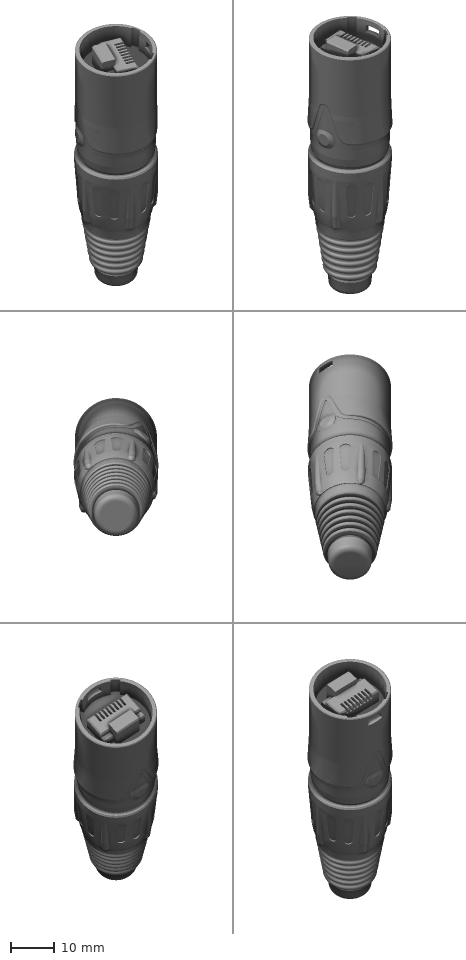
import cadquery as cq
import math

LENGTH = 67.55

SHELL_RADIUS = 9.45
MOUTH_CHAMFER = 0.2
SKIRT_HALF_X = 10.0
SKIRT_HALF_Y = 9.5
SKIRT_TOP = 51.9
SKIRT_KNEE = 50.5
SKIRT_KNEE_RADIUS = 9.5
SKIRT_BOTTOM = 44.25
SKIRT_EDGE_FILLET = 0.35

BELL_PEAK = 53.65
BELL_PEAK_RADIUS = 1.35
BELL_FLARE_RADIUS = 2.35
BELL_SLOPE = math.radians(71)

FOOT_RADIUS = 9.3
FOOT_WIDTH = 1.0

CORE_RADIUS = 9.2
CORE_TAPER_TOP = 39.85
CORE_END_RADIUS = 9.0
CORE_BOTTOM = 37.6
CORE_CHAMFER = 0.3
NECK_RADIUS = 8.45

BADGE_Z = 44.3
BADGE_BASE_RADIUS = 2.6
BADGE_FACE_RADIUS = 1.5
BADGE_BASE_Y = 9.05
BADGE_FACE_Y = 9.6

CAVITY_FLOOR = 62.15
CAVITY_TOP_RADIUS = 8.45
CAVITY_FLOOR_RADIUS = 8.05
KEYWAY_RADIUS = 8.85
KEYWAY_ANGLES = (46, 61)
WINDOW_WIDTH = 4.0
WINDOW_BOTTOM = 64.3
WINDOW_TOP = 66.2

PLUG_HALF_WIDTH = 5.8
PLUG_BACK_Y = 3.45
PLUG_STEP_Y = -1.9
PLUG_FRONT_Y = -3.4
PLUG_TOP = 65.9
PLUG_LEDGE_TOP = 64.5
PLUG_CHAMFER = 0.35
LATCH_WIDTH = 6.4
LATCH_BACK_Y = -1.4
LATCH_FRONT_Y = -4.65
LATCH_CHAMFER = 0.35
CONTACT_COUNT = 8
CONTACT_PITCH = 1.0
CONTACT_WIDTH = 0.6
CONTACT_FRONT_Y = 1.0
CONTACT_DEPTH = 1.35

NUT_TOP = 36.9
NUT_RADIUS = 9.65
NUT_CHAMFER = 0.35
NUT_BAND_BOTTOM = 34.2
NUT_WAIST_Z = 24.25
NUT_WAIST_RADIUS = 9.0
NUT_BOTTOM = 20.1
NUT_BOTTOM_RADIUS = 8.4
NUT_BULGE = 0.15

RIB_COUNT = 5
RIB_RADIUS = 1.0
RIB_OFFSET = NUT_RADIUS - RIB_RADIUS
RIB_END = 21.0
RIB_LEAN = 0.35
RIB_TIP_CHAMFER = 0.7

SLOT_TOP = 33.45
SLOT_BOTTOM = 24.05
SLOT_TOP_RADIUS = 1.35
SLOT_BOTTOM_RADIUS = 0.95
SLOT_DEPTH = 0.3
SLOT_SPREAD = 12.2

BOOT_TOP_RADIUS = 8.2
BOOT_COLLAR_BOTTOM = 17.0
BOOT_COLLAR_RADIUS = 8.0
BOOT_COLLAR_CHAMFER = 0.3
RING_COUNT = 6
RING_TOP_Z = 15.55
LOWEST_RING_Z = 5.55
RING_PITCH = (RING_TOP_Z - LOWEST_RING_Z) / (RING_COUNT - 1)
RING_HEIGHT = 1.1
RING_TOP_RADIUS = 7.7
RING_STEP = 0.285
RING_ROUNDING = 0.35
GROOVE_TOP_RADIUS = 6.5
GROOVE_DEPTH = 0.35
CAP_TOP = 4.1
CAP_RIM_Z = 3.85
CAP_TOP_RADIUS = 5.2
CAP_GROOVE_RADIUS = 4.8
CAP_BOTTOM_RADIUS = 4.85
CAP_FILLET = 1.35


def turned(profile):
    """Revolve (radius, z) points about the Z axis, closing the outline along the axis."""
    outline = [(0, profile[0][1])] + profile + [(0, profile[-1][1])]
    return cq.Workplane("XZ").polyline(outline).close().revolve(360, (0, 0), (0, 1))


def box_between(x0, x1, y0, y1, z0, z1):
    return cq.Workplane("XY").box(x1 - x0, y1 - y0, z1 - z0, centered=False).translate((x0, y0, z0))


def below_skirt(inset=0):
    """Everything under the skirt edge: flat at the sides, rising to a rounded bell in the middle.

    A positive inset moves the whole edge inward and down by that distance.
    """
    reach = 2 * SHELL_RADIUS
    floor = CORE_BOTTOM
    sin_slope = math.sin(BELL_SLOPE)
    cos_slope = math.cos(BELL_SLOPE)

    edge_z = SKIRT_BOTTOM - inset
    peak_radius = BELL_PEAK_RADIUS - inset
    flare_radius = BELL_FLARE_RADIUS + inset
    peak_centre_z = BELL_PEAK - BELL_PEAK_RADIUS
    peak_x = peak_radius * sin_slope
    peak_z = peak_centre_z + peak_radius * cos_slope

    flare_z = edge_z + flare_radius * (1 - cos_slope)
    flare_x = peak_x + (peak_z - flare_z) / math.tan(BELL_SLOPE)
    flare_end_x = flare_x + flare_radius * sin_slope
    half_slope = BELL_SLOPE / 2
    flare_mid_x = flare_end_x - flare_radius * math.sin(half_slope)
    flare_mid_z = edge_z + flare_radius * (1 - math.cos(half_slope))

    return (
        cq.Workplane("XZ")
        .moveTo(-reach, floor)
        .lineTo(-reach, edge_z)
        .lineTo(-flare_end_x, edge_z)
        .threePointArc((-flare_mid_x, flare_mid_z), (-flare_x, flare_z))
        .lineTo(-peak_x, peak_z)
        .threePointArc((0, BELL_PEAK - inset), (peak_x, peak_z))
        .lineTo(flare_x, flare_z)
        .threePointArc((flare_mid_x, flare_mid_z), (flare_end_x, edge_z))
        .lineTo(reach, edge_z)
        .lineTo(reach, floor)
        .close()
        .extrude(reach, both=True)
    )


def is_skirt_edge(edge):
    """True on the lower rim of the shell, false on the upright seam and the level lines above the rim."""
    box = edge.BoundingBox()
    on_seam = box.ylen < SKIRT_EDGE_FILLET and abs(edge.Center().y) < SKIRT_EDGE_FILLET
    is_level = box.zlen < SKIRT_EDGE_FILLET
    above_rim = is_level and box.zmin > SKIRT_BOTTOM + SKIRT_EDGE_FILLET
    return not on_seam and not above_rim


def shell():
    mouth = (
        cq.Workplane("XY", origin=(0, 0, SKIRT_TOP))
        .circle(SHELL_RADIUS)
        .extrude(LENGTH - SKIRT_TOP)
        .faces(">Z")
        .chamfer(MOUTH_CHAMFER)
    )
    skirt = (
        cq.Workplane("XY", origin=(0, 0, SKIRT_TOP))
        .circle(SHELL_RADIUS)
        .workplane(offset=SKIRT_KNEE - SKIRT_TOP)
        .circle(SKIRT_KNEE_RADIUS)
        .workplane(offset=SKIRT_BOTTOM - SKIRT_KNEE)
        .ellipse(SKIRT_HALF_X, SKIRT_HALF_Y)
        .loft(ruled=True)
    )
    flared = mouth.union(skirt).cut(below_skirt())
    edges = [edge for edge in flared.edges("not |Y").vals() if is_skirt_edge(edge)]
    return flared.newObject(edges).fillet(SKIRT_EDGE_FILLET)


def core():
    return turned([
        (NECK_RADIUS, NUT_WAIST_Z),
        (NECK_RADIUS, CORE_BOTTOM),
        (CORE_END_RADIUS - CORE_CHAMFER, CORE_BOTTOM),
        (CORE_END_RADIUS, CORE_BOTTOM + CORE_CHAMFER),
        (CORE_RADIUS, CORE_TAPER_TOP),
        (CORE_RADIUS, BELL_PEAK + 0.7),
    ])


def skirt_foot():
    ring = turned([(FOOT_RADIUS, CORE_TAPER_TOP), (FOOT_RADIUS, BELL_PEAK + 0.7)])
    return ring.cut(below_skirt(FOOT_WIDTH))


def badges():
    """Raised discs with conical flanks on the -Y and +Y sides."""
    front = (
        cq.Workplane("XZ", origin=(0, -BADGE_BASE_Y, BADGE_Z))
        .circle(BADGE_BASE_RADIUS)
        .workplane(offset=BADGE_FACE_Y - BADGE_BASE_Y)
        .circle(BADGE_FACE_RADIUS)
        .loft(ruled=True)
    )
    root = (
        cq.Workplane("XZ", origin=(0, -BADGE_BASE_Y, BADGE_Z))
        .circle(BADGE_BASE_RADIUS)
        .extrude(-BADGE_BASE_RADIUS)
    )
    badge = front.union(root)
    return badge.union(badge.mirror("XZ"))


def cavity():
    bore = turned([(CAVITY_FLOOR_RADIUS, CAVITY_FLOOR), (CAVITY_TOP_RADIUS, LENGTH)])
    window = box_between(
        -WINDOW_WIDTH / 2, WINDOW_WIDTH / 2, 0, SHELL_RADIUS + 0.7, WINDOW_BOTTOM, WINDOW_TOP
    )
    start, end = (math.radians(angle) for angle in KEYWAY_ANGLES)
    middle = (start + end) / 2
    keyway = cq.Workplane("XY", origin=(0, 0, CAVITY_FLOOR))
    keyway = keyway.lineTo(KEYWAY_RADIUS * math.cos(start), KEYWAY_RADIUS * math.sin(start))
    keyway = keyway.threePointArc(
        (KEYWAY_RADIUS * math.cos(middle), KEYWAY_RADIUS * math.sin(middle)),
        (KEYWAY_RADIUS * math.cos(end), KEYWAY_RADIUS * math.sin(end)),
    )
    keyway = keyway.close().extrude(LENGTH - CAVITY_FLOOR)
    return bore.union(window).union(keyway).union(keyway.mirror("YZ"))


def plug():
    """Plug rising from the cavity floor, with contact slots at the back and a latch block in front."""
    half = PLUG_HALF_WIDTH
    root = CAVITY_FLOOR - 0.7
    body = (
        box_between(-half, half, PLUG_STEP_Y, PLUG_BACK_Y, root, PLUG_TOP)
        .faces(">Z")
        .chamfer(PLUG_CHAMFER)
    )
    ledge = (
        box_between(-half, half, PLUG_FRONT_Y, PLUG_STEP_Y, root, PLUG_LEDGE_TOP)
        .faces(">Z")
        .edges("<Y")
        .chamfer(PLUG_CHAMFER)
    )
    body = body.union(ledge)
    for index in range(CONTACT_COUNT):
        x = (index - (CONTACT_COUNT - 1) / 2) * CONTACT_PITCH
        body = body.cut(box_between(
            x - CONTACT_WIDTH / 2, x + CONTACT_WIDTH / 2,
            CONTACT_FRONT_Y, PLUG_BACK_Y,
            PLUG_TOP - CONTACT_DEPTH, PLUG_TOP,
        ))
    latch = (
        box_between(-LATCH_WIDTH / 2, LATCH_WIDTH / 2, LATCH_FRONT_Y, LATCH_BACK_Y, root, LENGTH)
        .faces(">Z")
        .edges("<Y")
        .chamfer(LATCH_CHAMFER)
    )
    return body.union(latch)


def nut_rib():
    """Round rib on the -X side: upright on the cone, leaning in below it, with a blunt tip."""
    upright = (
        cq.Workplane("XY", origin=(-RIB_OFFSET, 0, NUT_WAIST_Z))
        .circle(RIB_RADIUS)
        .extrude(NUT_BAND_BOTTOM - NUT_WAIST_Z)
    )
    leaning = (
        cq.Workplane("XY", origin=(-RIB_OFFSET, 0, NUT_WAIST_Z))
        .circle(RIB_RADIUS)
        .workplane(offset=RIB_END - NUT_WAIST_Z)
        .center(RIB_LEAN, 0)
        .circle(RIB_RADIUS)
        .loft(ruled=True)
    )
    tip = (
        cq.Workplane("XY", origin=(RIB_LEAN - RIB_OFFSET, 0, RIB_END))
        .circle(RIB_RADIUS)
        .workplane(offset=NUT_BOTTOM - RIB_END)
        .circle(RIB_RADIUS - RIB_TIP_CHAMFER)
        .loft(ruled=True)
    )
    return upright.union(leaning).union(tip)


def nut_slot():
    """Cutter for one flat-floored grip slot on the -Y side, wider at its top end."""
    height = SLOT_TOP - SLOT_BOTTOM
    top_z = height / 2 - SLOT_TOP_RADIUS
    bottom_z = SLOT_BOTTOM_RADIUS - height / 2
    tilt = math.asin((SLOT_TOP_RADIUS - SLOT_BOTTOM_RADIUS) / (top_z - bottom_z))
    top_x = SLOT_TOP_RADIUS * math.cos(tilt)
    top_tangent_z = top_z - SLOT_TOP_RADIUS * math.sin(tilt)
    bottom_x = SLOT_BOTTOM_RADIUS * math.cos(tilt)
    bottom_tangent_z = bottom_z - SLOT_BOTTOM_RADIUS * math.sin(tilt)

    cone_slope = (NUT_RADIUS - NUT_WAIST_RADIUS) / (NUT_BAND_BOTTOM - NUT_WAIST_Z)
    middle_z = (SLOT_TOP + SLOT_BOTTOM) / 2
    cone_radius = NUT_WAIST_RADIUS + cone_slope * (middle_z - NUT_WAIST_Z)
    return (
        cq.Workplane("XZ")
        .moveTo(-bottom_x, bottom_tangent_z)
        .lineTo(-top_x, top_tangent_z)
        .threePointArc((0, height / 2), (top_x, top_tangent_z))
        .lineTo(bottom_x, bottom_tangent_z)
        .threePointArc((0, -height / 2), (-bottom_x, bottom_tangent_z))
        .close()
        .extrude(SLOT_TOP_RADIUS)
        .rotate((0, 0, 0), (1, 0, 0), math.degrees(math.atan(cone_slope)))
        .translate((0, SLOT_DEPTH - cone_radius, middle_z))
    )


def nut():
    bulge_point = (
        (NUT_WAIST_RADIUS + NUT_BOTTOM_RADIUS) / 2 + NUT_BULGE,
        (NUT_WAIST_Z + NUT_BOTTOM) / 2,
    )
    body = (
        cq.Workplane("XZ")
        .moveTo(0, NUT_TOP)
        .lineTo(NUT_RADIUS - NUT_CHAMFER, NUT_TOP)
        .lineTo(NUT_RADIUS, NUT_TOP - NUT_CHAMFER)
        .lineTo(NUT_RADIUS, NUT_BAND_BOTTOM)
        .lineTo(NUT_WAIST_RADIUS, NUT_WAIST_Z)
        .threePointArc(bulge_point, (NUT_BOTTOM_RADIUS, NUT_BOTTOM))
        .lineTo(0, NUT_BOTTOM)
        .close()
        .revolve(360, (0, 0), (0, 1))
    )
    rib = nut_rib()
    slot = nut_slot()
    rib_pitch = 360 / RIB_COUNT
    for index in range(RIB_COUNT):
        rib_angle = index * rib_pitch
        body = body.union(rib.rotate((0, 0, 0), (0, 0, 1), rib_angle + 180))
        gap_angle = rib_angle + rib_pitch / 2 + 90
        for side in (-1, 1):
            body = body.cut(slot.rotate((0, 0, 0), (0, 0, 1), gap_angle + side * SLOT_SPREAD))
    return body


def boot():
    """Collar, ringed bend relief with grooves that shrink toward the cable, and a rounded end cap."""
    groove_step = (GROOVE_TOP_RADIUS - CAP_GROOVE_RADIUS) / RING_COUNT
    half_height = RING_HEIGHT / 2
    outline = (
        cq.Workplane("XZ")
        .moveTo(0, NUT_BOTTOM)
        .lineTo(BOOT_TOP_RADIUS, NUT_BOTTOM)
        .lineTo(BOOT_COLLAR_RADIUS, BOOT_COLLAR_BOTTOM + BOOT_COLLAR_CHAMFER)
        .lineTo(BOOT_COLLAR_RADIUS - BOOT_COLLAR_CHAMFER, BOOT_COLLAR_BOTTOM)
    )
    groove_top = BOOT_COLLAR_BOTTOM
    for index in range(RING_COUNT):
        z = RING_TOP_Z - index * RING_PITCH
        ring_top = z + half_height
        ring_bottom = z - half_height
        rim_radius = RING_TOP_RADIUS - index * RING_STEP
        shoulder_radius = rim_radius - RING_ROUNDING
        groove_radius = GROOVE_TOP_RADIUS - index * groove_step
        lip_radius = groove_radius + GROOVE_DEPTH
        outline = (
            outline
            .lineTo(lip_radius, groove_top)
            .threePointArc((groove_radius, (groove_top + ring_top) / 2), (lip_radius, ring_top))
            .lineTo(shoulder_radius, ring_top)
            .threePointArc((rim_radius, z), (shoulder_radius, ring_bottom))
        )
        groove_top = ring_bottom
    outline = (
        outline
        .lineTo(CAP_GROOVE_RADIUS, groove_top)
        .lineTo(CAP_GROOVE_RADIUS, CAP_TOP)
        .lineTo(CAP_TOP_RADIUS, CAP_RIM_Z)
        .lineTo(CAP_BOTTOM_RADIUS, 0)
        .lineTo(0, 0)
        .close()
    )
    return outline.revolve(360, (0, 0), (0, 1)).faces("<Z").edges().fillet(CAP_FILLET)


outside = shell().union(core()).union(skirt_foot()).union(badges()).union(nut()).union(boot())
result = outside.cut(cavity()).union(plug())